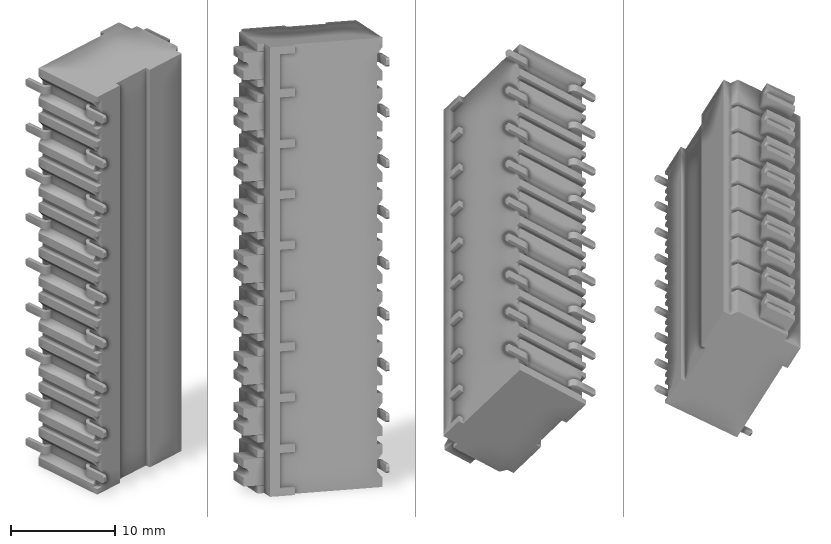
import cadquery as cq

height = 44.2
pole_count = 9
pole_pitch = 5.0

left_wall_x = -3.65
right_wall_x = 4.2
back_y = 11.6
key_channel_depth = 0.55
key_channel_start_y = 3.1
key_channel_end_y = 7.2

flange_thickness = 0.55
flange_start_y = 10.55
rib_start_y = 9.05
rib_width = 0.75

bar_left_x = -2.48
bar_right_x = 3.45
bar_top_right_x = 3.0
bar_height = 0.65

groove_width = 0.8
groove_depth = 0.57
vee_floor_width = 1.0
vee_mouth_width = 2.4
recess_height = 3.0

lever_width = 3.1
lever_height = 2.65
lever_end_y = 13.65
lever_clearance = 0.1
lever_notch_radius = 0.5

pin_reach = 5.25
pin_width = 0.85
pin_thickness = 0.35
pin_front_y = -0.18
pin_leg_inner_x = 2.45
pin_bend_radius = 0.7
pin_embedded_y = 1.33
pin_tip_chamfer = 0.18

overlap = 0.2

flange_left_x = left_wall_x - flange_thickness
bar_back_y = back_y + bar_height
channel_floor_x = right_wall_x - key_channel_depth
first_pole_z = (height - (pole_count - 1) * pole_pitch) / 2
pole_heights = [first_pole_z + i * pole_pitch for i in range(pole_count)]
divider_heights = [z + pole_pitch / 2 for z in pole_heights[:-1]]


def box(x_range, y_range, z_range):
    """Axis-aligned box from three (low, high) pairs."""
    sizes = [high - low for low, high in (x_range, y_range, z_range)]
    corner = (x_range[0], y_range[0], z_range[0])
    return cq.Workplane("XY").box(*sizes, centered=False).translate(corner)


def span(centre, width):
    """Low and high ends of a width around its centre."""
    return (centre - width / 2, centre + width / 2)


def housing_body():
    outline = [
        (left_wall_x, 0),
        (right_wall_x, 0),
        (right_wall_x, key_channel_start_y),
        (channel_floor_x, key_channel_start_y),
        (channel_floor_x, key_channel_end_y),
        (right_wall_x, key_channel_end_y),
        (right_wall_x, back_y),
        (bar_right_x, back_y),
        (bar_top_right_x, bar_back_y),
        (bar_left_x, bar_back_y),
        (bar_left_x, back_y),
        (left_wall_x, back_y),
    ]
    return cq.Workplane("XY").polyline(outline).close().extrude(height)


def marking_flange():
    flange_x = (flange_left_x, left_wall_x + overlap)
    flange = box(flange_x, (flange_start_y, back_y), (0, height))
    rib_ranges = [span(z, rib_width) for z in divider_heights]
    rib_ranges += [(0, rib_width), (height - rib_width, height)]
    for rib_range in rib_ranges:
        flange = flange.union(box(flange_x, (rib_start_y, back_y), rib_range))
    return flange


def divider_cuts(z):
    """Square grooves between two poles, across the front and the back bar."""
    groove_z = span(z, groove_width)
    front = box((left_wall_x, right_wall_x), (0, groove_depth), groove_z)
    back = box((bar_left_x, bar_right_x), (back_y, bar_back_y), groove_z)
    return front.union(back)


def pole_cuts(z):
    """Pin groove, its end recess in the right wall, and the lever slot."""
    floor_half = vee_floor_width / 2
    mouth_half = vee_mouth_width / 2
    vee = (
        cq.Workplane("YZ", origin=(left_wall_x, 0, z))
        .moveTo(0, -mouth_half)
        .lineTo(groove_depth, -floor_half)
        .lineTo(groove_depth, floor_half)
        .lineTo(0, mouth_half)
        .close()
        .extrude(channel_floor_x - left_wall_x)
    )
    recess = box((channel_floor_x, right_wall_x), (0, groove_depth), span(z, recess_height))
    slot_z = span(z, lever_height + 2 * lever_clearance)
    slot = box((bar_left_x, bar_left_x + lever_width), (back_y, bar_back_y), slot_z)
    return vee.union(recess).union(slot)


def lever(z):
    lever_x = (bar_left_x, bar_left_x + lever_width)
    blade = box(lever_x, (back_y - overlap, lever_end_y), span(z, lever_height))
    notch = (
        cq.Workplane("YZ", origin=(bar_left_x, lever_end_y, z))
        .circle(lever_notch_radius)
        .extrude(lever_width)
    )
    return blade.cut(notch)


def left_pin(z):
    foot_back_y = pin_front_y + pin_thickness
    leg_inner_x = -pin_leg_inner_x
    leg_outer_x = leg_inner_x - pin_thickness
    inner_radius = pin_bend_radius - pin_thickness
    return (
        cq.Workplane("XY", origin=(0, 0, z - pin_width / 2))
        .moveTo(-pin_reach, pin_front_y)
        .lineTo(leg_inner_x - pin_bend_radius, pin_front_y)
        .radiusArc((leg_inner_x, pin_front_y + pin_bend_radius), -pin_bend_radius)
        .lineTo(leg_inner_x, pin_embedded_y)
        .lineTo(leg_outer_x, pin_embedded_y)
        .lineTo(leg_outer_x, foot_back_y + inner_radius)
        .radiusArc((leg_outer_x - inner_radius, foot_back_y), inner_radius)
        .lineTo(-pin_reach, foot_back_y)
        .close()
        .extrude(pin_width)
        .faces("<X")
        .edges("|Y")
        .chamfer(pin_tip_chamfer)
    )


result = housing_body().union(marking_flange())
for divider_z in divider_heights:
    result = result.cut(divider_cuts(divider_z))
for pole_z in pole_heights:
    pin = left_pin(pole_z)
    result = result.cut(pole_cuts(pole_z)).union(lever(pole_z)).union(pin).union(pin.mirror("YZ"))